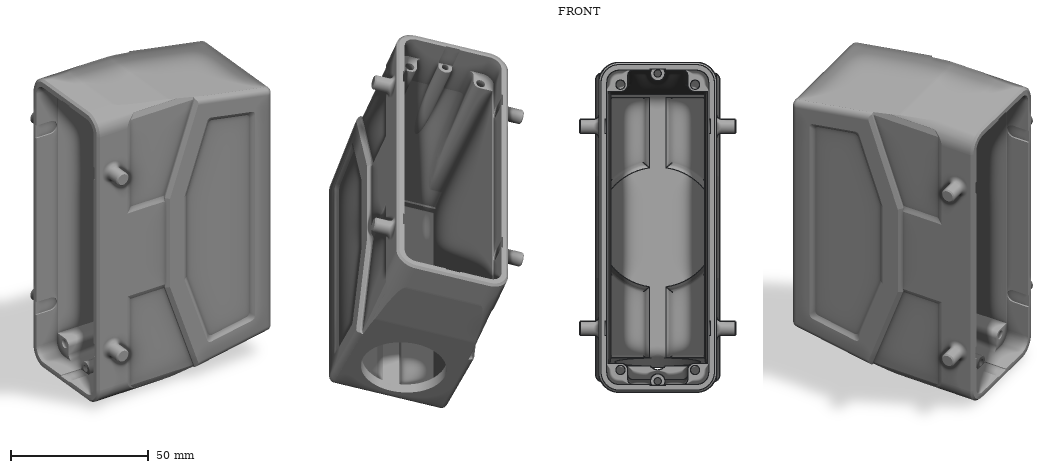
import cadquery as cq
import math


HEIGHT = 120.0
DEPTH = 76.0
RIM_WIDTH = 42.8
RIM_CORNER_RADIUS = 7.3
RIM_EDGE_CHAMFER = 0.8
HALF_HEIGHT = HEIGHT / 2
RIM_FACE_X = RIM_WIDTH / 2

FLAT_END_Y = 11.3
SLOPE_BREAK_Y = 31.9
SLOPE_BREAK_Z = 58.0
BACK_SLOPE = math.tan(math.radians(10))
BLEND_REACH = 0.4

BLOCK_WIDTH = 45.2
BLOCK_FACE_X = BLOCK_WIDTH / 2
BLOCK_NOSE_Y = 29.3
BLOCK_NOSE_HALF_Z = 18.6
BLOCK_SHOULDER_Y = 42.5
BLOCK_EDGE_RADIUS = 2.4
BLOCK_FRONT_CHAMFER = 1.5
STEP = BLOCK_FACE_X - RIM_FACE_X

WINDOW_BACK_Y = 67.9
WINDOW_NOSE_Y = 37.1
WINDOW_NOSE_HALF_Z = 17.3
WINDOW_END_MARGIN = 8.4
WINDOW_DEPTH = 1.2
WINDOW_WALL_RUN = 1.7
WINDOW_CORNER_RADIUS = 3.0

PANEL_FRONT_Y = 13.0
PANEL_INNER_Z = 17.3
PANEL_DEPTH = 0.8
PANEL_END_DEPTH = 1.7
PANEL_EASE_START_Z = 55.2
PANEL_EASE_END_Z = 57.2
PANEL_WALL_RUN = 1.9

PIN_SPAN = 57.0
PIN_TIP_X = PIN_SPAN / 2
PIN_Y = 6.2
PIN_Z = 36.7
PIN_RADIUS = 2.6
PIN_TIP_CHAMFER = 0.5
PIN_ROOT_RADIUS = 1.7

WALL = 2.9
SEAT_DEPTH = 8.9
SEAT_HALF_X = RIM_FACE_X - WALL
SEAT_HALF_Z = HALF_HEIGHT - WALL
SEAT_CORNER_RADIUS = RIM_CORNER_RADIUS - WALL
CAVITY_FRONT_HALF_X = 18.1
CAVITY_BACK_HALF_X = 17.0
FLOOR_Y = 70.8

GROOVE_WIDTH = 5.3
GROOVE_DEPTH = 0.6

CHANNEL_WIDTH = 5.5
CHANNEL_DEPTH = 0.4

PIT_DEPTH = 2.4
PIT_INNER_X = 3.0
PIT_OUTER_X = 19.0
PIT_HALF_Z = 48.8
PIT_ARC_RADIUS = 21.8
PIT_WALL_RUN = 1.8
PIT_FLOOR_RADIUS = 1.2
PIT_CLIP_HALF_Z = 47.3

ENTRY_WALL_FRONT_Y = 40.1
ENTRY_WALL_FRONT_Z = -50.4
ENTRY_WALL_BACK_Z = -47.5
ENTRY_POCKET_Z = -55.3
ENTRY_RADIUS = 15.6
ENTRY_BACK_Z = -46.3

CORNER_BOSS_INNER_X = 10.9
CORNER_BOSS_INNER_Z = 49.5
CORNER_BOSS_EDGE_RADIUS = 2.4
BOSS_FOOT_RADIUS = 1.9
CORNER_SCREW_X = 13.5
CORNER_SCREW_Z = 51.8
CORNER_SCREW_RADIUS = 1.7
CENTRE_BOSS_Z = 55.9
CENTRE_BOSS_RADIUS = 2.6
CENTRE_SCREW_RADIUS = 1.3
SCREW_DEPTH = 14.4

MARGIN = 0.1


def end_z(y):
    """Height of the back slope of the end face at depth y."""
    return SLOPE_BREAK_Z - BACK_SLOPE * (y - SLOPE_BREAK_Y)


def nose_lean():
    """Change of Y per unit of Z along the slanted front edges of the back block."""
    return (BLOCK_SHOULDER_Y - BLOCK_NOSE_Y) / (end_z(BLOCK_SHOULDER_Y) - BLOCK_NOSE_HALF_Z)


def side_prism(outline, half_width):
    """Prism across X with the given (y, z) outline."""
    plane = cq.Workplane("YZ", origin=(-half_width, 0, 0))
    return plane.polyline(outline).close().extrude(2 * half_width)


def mirrored(upper_points):
    """Closed (y, z) outline from its upper half, mirrored about Z = 0."""
    return upper_points + [(y, -z) for y, z in reversed(upper_points)]


def both_sides(solid):
    return solid.union(solid.mirror("YZ"))


def all_quadrants(solid):
    return both_sides(solid.union(solid.mirror("XY")))


def front_section(y):
    """Workplane at depth y, local axes X and Z, extruding towards +Y."""
    return cq.Workplane(cq.Plane((0, y, 0), (1, 0, 0), (0, 1, 0)))


def point(x, z):
    """Local coordinates of (x, z) on a front_section plane."""
    return (x, -z)


def end_profile(half_width):
    """Slab with the side outline of the hood, its slopes joined by short tangent arcs."""
    front_slope = (HALF_HEIGHT - SLOPE_BREAK_Z) / (SLOPE_BREAK_Y - FLAT_END_Y)
    start_y, start_z = FLAT_END_Y + BLEND_REACH, HALF_HEIGHT - front_slope * BLEND_REACH
    stop_y, stop_z = SLOPE_BREAK_Y - BLEND_REACH, SLOPE_BREAK_Z + front_slope * BLEND_REACH
    past_y = SLOPE_BREAK_Y + BLEND_REACH
    return (
        cq.Workplane("YZ", origin=(-half_width, 0, 0))
        .lineTo(0, HALF_HEIGHT)
        .lineTo(FLAT_END_Y - BLEND_REACH, HALF_HEIGHT)
        .tangentArcPoint((start_y, start_z), relative=False)
        .lineTo(stop_y, stop_z)
        .tangentArcPoint((past_y, end_z(past_y)), relative=False)
        .lineTo(DEPTH, end_z(DEPTH))
        .lineTo(DEPTH, 0)
        .mirrorX()
        .extrude(2 * half_width)
    )


def rim_body():
    tube = front_section(0).rect(RIM_WIDTH, HEIGHT).extrude(DEPTH - BLOCK_EDGE_RADIUS)
    tube = tube.edges("|Y").fillet(RIM_CORNER_RADIUS)
    tube = tube.faces("<Y").edges().chamfer(RIM_EDGE_CHAMFER)
    return tube.intersect(end_profile(RIM_WIDTH))


def tapered(outline, face_x, length, wall_run):
    """Prism on the (y, z) outline at face_x, going along X by length, narrowing by wall_run."""
    angle = math.degrees(math.atan(wall_run / abs(length)))
    plane = cq.Workplane("YZ", origin=(face_x, 0, 0))
    return plane.polyline(outline).close().extrude(length, taper=angle)


def panels():
    """Cutters for the four panels, with sloped walls and floors easing down at the ends."""
    beyond_end_z = HALF_HEIGHT + RIM_CORNER_RADIUS
    outline = [
        (PANEL_FRONT_Y, PANEL_INNER_Z),
        (DEPTH, PANEL_INNER_Z),
        (DEPTH, beyond_end_z),
        (PANEL_FRONT_Y, beyond_end_z),
    ]
    end_run = PANEL_WALL_RUN * PANEL_END_DEPTH / PANEL_DEPTH
    cutter = tapered(outline, RIM_FACE_X, -PANEL_END_DEPTH, end_run)
    floor_x = RIM_FACE_X - PANEL_DEPTH
    kept = (
        cq.Workplane("XZ")
        .lineTo(floor_x, 0)
        .lineTo(floor_x, PANEL_EASE_START_Z)
        .lineTo(RIM_FACE_X - PANEL_END_DEPTH, PANEL_EASE_END_Z)
        .lineTo(0, PANEL_EASE_END_Z)
        .close()
        .extrude(-DEPTH)
    )
    return all_quadrants(cutter.cut(kept))


def back_block():
    """Block across the full width with rounded end and back edges and bevelled front edges."""
    nose = (BLOCK_NOSE_Y, BLOCK_NOSE_HALF_Z)
    shoulder = (BLOCK_SHOULDER_Y, end_z(BLOCK_SHOULDER_Y))
    back = (DEPTH, end_z(DEPTH))
    block = side_prism(mirrored([nose, shoulder, back]), BLOCK_FACE_X)
    block = block.edges("|X and >Y").fillet(BLOCK_EDGE_RADIUS)
    rim_edges = block.faces("<X or >X").edges()
    rear_edges = rim_edges.filter(lambda edge: edge.Center().y > BLOCK_SHOULDER_Y)
    return rear_edges.fillet(BLOCK_EDGE_RADIUS).intersect(block_bevel())


def block_bevel():
    """Envelope whose front walls lean inwards over the step from the rim band to the block."""
    reach = 2 * DEPTH
    nose = (BLOCK_NOSE_Y, BLOCK_NOSE_HALF_Z)
    flank_z = BLOCK_NOSE_HALF_Z + DEPTH
    flank = (BLOCK_NOSE_Y + nose_lean() * DEPTH, flank_z)
    outline = mirrored([nose, flank, (reach, flank_z)])
    core = side_prism(outline, RIM_FACE_X)
    cap = tapered(outline, RIM_FACE_X, STEP, BLOCK_FRONT_CHAMFER)
    return core.union(both_sides(cap))


def pins():
    """Four locking pins with a flared root."""
    root_x = RIM_FACE_X - WALL / 2
    flare_x = RIM_FACE_X + PIN_ROOT_RADIUS
    tip_radius = PIN_RADIUS - PIN_TIP_CHAMFER
    flare_radius = PIN_RADIUS + PIN_ROOT_RADIUS
    arc_offset = PIN_ROOT_RADIUS * (1 - math.sqrt(0.5))
    pin = (
        cq.Workplane("XY", origin=(0, PIN_Y, PIN_Z))
        .moveTo(root_x, 0)
        .lineTo(root_x, flare_radius)
        .lineTo(RIM_FACE_X, flare_radius)
        .threePointArc((RIM_FACE_X + arc_offset, PIN_RADIUS + arc_offset), (flare_x, PIN_RADIUS))
        .lineTo(PIN_TIP_X - PIN_TIP_CHAMFER, PIN_RADIUS)
        .lineTo(PIN_TIP_X, tip_radius)
        .lineTo(PIN_TIP_X, 0)
        .close()
        .revolve(360, (0, 0, 0), (1, 0, 0))
    )
    return all_quadrants(pin)


def windows():
    """Shallow pockets in both sides of the back block."""
    lean = nose_lean()
    top_at_nose = end_z(WINDOW_NOSE_Y) - WINDOW_END_MARGIN
    rise = (top_at_nose - WINDOW_NOSE_HALF_Z) / (1 + lean * BACK_SLOPE)
    shoulder_y = WINDOW_NOSE_Y + lean * rise
    outline = mirrored([
        (WINDOW_NOSE_Y, WINDOW_NOSE_HALF_Z),
        (shoulder_y, WINDOW_NOSE_HALF_Z + rise),
        (WINDOW_BACK_Y, end_z(WINDOW_BACK_Y) - WINDOW_END_MARGIN),
    ])
    pocket = tapered(outline, BLOCK_FACE_X, -WINDOW_DEPTH, WINDOW_WALL_RUN)
    wall_edges = pocket.edges("not #X")
    end_corners = wall_edges.filter(lambda edge: abs(edge.Center().z) > BLOCK_NOSE_HALF_Z)
    return both_sides(end_corners.fillet(WINDOW_CORNER_RADIUS))


def seat():
    """Straight mouth of the cavity, with grooves at the pins and channels at the centre screws."""
    mouth = front_section(0).rect(2 * SEAT_HALF_X, 2 * SEAT_HALF_Z).extrude(SEAT_DEPTH)
    mouth = mouth.edges("|Y").fillet(SEAT_CORNER_RADIUS)
    round_y = SEAT_DEPTH - GROOVE_WIDTH / 2
    groove = (
        cq.Workplane("YZ", origin=(0, 0, PIN_Z))
        .moveTo(0, -GROOVE_WIDTH / 2)
        .lineTo(round_y, -GROOVE_WIDTH / 2)
        .threePointArc((SEAT_DEPTH, 0), (round_y, GROOVE_WIDTH / 2))
        .lineTo(0, GROOVE_WIDTH / 2)
        .close()
        .extrude(SEAT_HALF_X + GROOVE_DEPTH)
    )
    channel_span = 2 * (SEAT_HALF_Z + CHANNEL_DEPTH)
    channels = front_section(0).rect(CHANNEL_WIDTH, channel_span).extrude(SEAT_DEPTH)
    return mouth.union(all_quadrants(groove)).union(channels)


def main_cavity():
    """Space behind the seat, tapering in X and following the end slope in Z."""
    straight_end_y = SLOPE_BREAK_Y - (SEAT_HALF_Z - SLOPE_BREAK_Z + WALL) / BACK_SLOPE
    top = [
        (SEAT_DEPTH, SEAT_HALF_Z),
        (straight_end_y, SEAT_HALF_Z),
        (FLOOR_Y, end_z(FLOOR_Y) - WALL),
    ]
    bottom = [
        (FLOOR_Y, ENTRY_WALL_BACK_Z),
        (ENTRY_WALL_FRONT_Y, ENTRY_WALL_FRONT_Z),
        (ENTRY_WALL_FRONT_Y, ENTRY_POCKET_Z),
        (SEAT_DEPTH, -SEAT_HALF_Z),
    ]
    space = side_prism(top + bottom, SEAT_HALF_X)
    plan = [
        (CAVITY_FRONT_HALF_X, SEAT_DEPTH),
        (CAVITY_BACK_HALF_X, FLOOR_Y),
        (-CAVITY_BACK_HALF_X, FLOOR_Y),
        (-CAVITY_FRONT_HALF_X, SEAT_DEPTH),
    ]
    taper = cq.Workplane("XY").polyline(plan).close().extrude(HALF_HEIGHT, both=True)
    return space.intersect(taper)


def floor_pits():
    """Cutters for the four pits; their walls lean, and the inner end follows a circle."""
    arc_z = math.sqrt(PIT_ARC_RADIUS**2 - PIT_OUTER_X**2)
    inner_arc_z = math.sqrt(PIT_ARC_RADIUS**2 - PIT_INNER_X**2)
    middle_x = (PIT_INNER_X + PIT_OUTER_X) / 2
    middle_z = math.sqrt(PIT_ARC_RADIUS**2 - middle_x**2)
    angle = math.degrees(math.atan(PIT_WALL_RUN / PIT_DEPTH))
    pit = (
        front_section(FLOOR_Y)
        .moveTo(*point(PIT_OUTER_X, arc_z))
        .threePointArc(point(middle_x, middle_z), point(PIT_INNER_X, inner_arc_z))
        .lineTo(*point(PIT_INNER_X, PIT_HALF_Z))
        .lineTo(*point(PIT_OUTER_X, PIT_HALF_Z))
        .close()
        .extrude(PIT_DEPTH, taper=angle)
    )
    pit = pit.faces(">Y").edges().fillet(PIT_FLOOR_RADIUS)
    clip = front_section(FLOOR_Y).rect(2 * CAVITY_BACK_HALF_X, 2 * PIT_CLIP_HALF_Z).extrude(PIT_DEPTH)
    return all_quadrants(pit).intersect(clip)


def corner_bosses():
    """Full-length corner columns with a rounded inner edge."""
    size_x = RIM_FACE_X - CORNER_BOSS_INNER_X
    size_z = HALF_HEIGHT - CORNER_BOSS_INNER_Z
    centre = point(CORNER_BOSS_INNER_X + size_x / 2, CORNER_BOSS_INNER_Z + size_z / 2)
    column = front_section(SEAT_DEPTH).moveTo(*centre).rect(size_x, size_z)
    column = column.extrude(FLOOR_Y - SEAT_DEPTH)
    column = column.edges("|Y and <X and <Z").fillet(CORNER_BOSS_EDGE_RADIUS)
    return all_quadrants(column)


def centre_bosses():
    """Round columns partly sunk into the middle of both end walls."""
    column = front_section(SEAT_DEPTH).moveTo(*point(0, CENTRE_BOSS_Z)).circle(CENTRE_BOSS_RADIUS)
    column = column.extrude(FLOOR_Y - SEAT_DEPTH)
    return column.union(column.mirror("XY"))


def screw_holes():
    corner = front_section(SEAT_DEPTH).moveTo(*point(CORNER_SCREW_X, CORNER_SCREW_Z))
    corner = corner.circle(CORNER_SCREW_RADIUS).extrude(SCREW_DEPTH)
    centre = front_section(SEAT_DEPTH).moveTo(*point(0, CENTRE_BOSS_Z))
    centre = centre.circle(CENTRE_SCREW_RADIUS).extrude(SCREW_DEPTH)
    return all_quadrants(corner.union(centre))


def cable_entry():
    """Round bore square to the lower back slope; its back line meets the floor at ENTRY_BACK_Z."""
    slope = math.atan(BACK_SLOPE)
    outwards = cq.Vector(0, math.sin(slope), -math.cos(slope))
    start = cq.Vector(0, FLOOR_Y - ENTRY_RADIUS / math.cos(slope), ENTRY_BACK_Z)
    plane = cq.Plane(start - outwards * ENTRY_RADIUS, xDir=(1, 0, 0), normal=outwards)
    return cq.Workplane(plane).circle(ENTRY_RADIUS).extrude(2 * ENTRY_RADIUS)


def is_boss_foot(edge):
    """True along the end walls at the inner sides of the corner bosses."""
    centre = edge.Center()
    on_inner_side = math.isclose(abs(centre.x), CORNER_BOSS_INNER_X, abs_tol=MARGIN)
    at_wall = abs(centre.z) > CORNER_BOSS_INNER_Z + CORNER_BOSS_EDGE_RADIUS + MARGIN
    return on_inner_side and at_wall and centre.y > SEAT_DEPTH + MARGIN


def cavity():
    space = main_cavity().cut(corner_bosses())
    space = space.edges().filter(is_boss_foot).fillet(BOSS_FOOT_RADIUS)
    return space.cut(centre_bosses()).union(seat()).union(floor_pits())


outer = rim_body().cut(panels()).union(back_block()).union(pins()).cut(windows())
result = outer.cut(cavity()).cut(screw_holes()).cut(cable_entry())